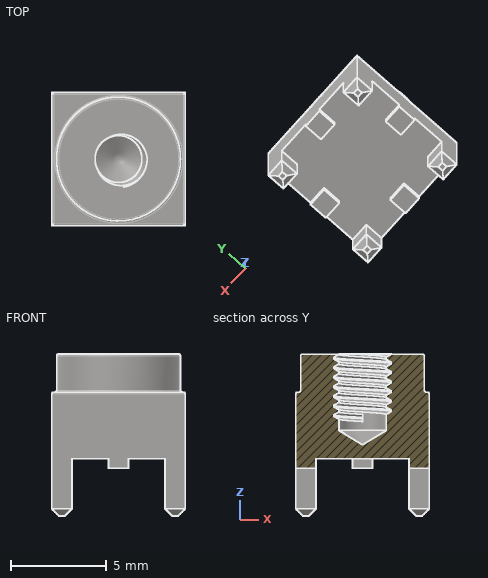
import cadquery as cq
import math

body_side = 7.0
body_bottom = 3.0
body_top = 6.5
edge_round = 0.1

boss_diameter = 6.5
boss_top = 8.5

leg_width = 1.07
leg_tip_chamfer = 0.38
pad_height = 0.5
side_offset = (body_side - leg_width) / 2

major_diameter = 3.0
pitch = 0.5
flank_angle = 60.0
root_flat = pitch / 8
crest_flat = pitch / 4
groove_depth = (pitch - root_flat - crest_flat) / 2 / math.tan(math.radians(flank_angle / 2))
minor_diameter = major_diameter - 2 * groove_depth
thread_turns = 7
drill_point_angle = 118.0
groove_start_angle = 90
groove_lift = 0.15
groove_overlap = 0.03
thread_length = (thread_turns + 1) * pitch


def make_body():
    height = body_top - body_bottom
    body = cq.Workplane("XY", origin=(0, 0, body_bottom)).rect(body_side, body_side).extrude(height)
    return body.faces(">Z").edges().fillet(edge_round)


def make_boss():
    """Boss revolved from a half profile, with a rounded rim and a concave fillet at its foot."""
    radius = boss_diameter / 2
    profile = (
        cq.Workplane("XZ")
        .moveTo(0, body_bottom)
        .lineTo(radius + edge_round, body_bottom)
        .lineTo(radius + edge_round, body_top)
        .radiusArc((radius, body_top + edge_round), edge_round)
        .lineTo(radius, boss_top - edge_round)
        .radiusArc((radius - edge_round, boss_top), -edge_round)
        .lineTo(0, boss_top)
        .close()
    )
    return profile.revolve(360, (0, 0, 0), (0, 1, 0))


def make_leg(x, y):
    leg = cq.Workplane("XY", origin=(x, y, 0)).rect(leg_width, leg_width).extrude(body_bottom)
    return leg.faces("<Z").edges().chamfer(leg_tip_chamfer)


def make_pad(x, y):
    bottom = body_bottom - pad_height
    return cq.Workplane("XY", origin=(x, y, bottom)).rect(leg_width, leg_width).extrude(pad_height)


def make_bore():
    """Straight bore ending in a conical drill point."""
    radius = minor_diameter / 2
    bore_bottom = boss_top - thread_length
    point_depth = radius / math.tan(math.radians(drill_point_angle / 2))
    profile = (
        cq.Workplane("XZ")
        .moveTo(0, boss_top)
        .lineTo(radius, boss_top)
        .lineTo(radius, bore_bottom)
        .lineTo(0, bore_bottom - point_depth)
        .close()
    )
    return profile.revolve(360, (0, 0, 0), (0, 1, 0))


def make_thread_groove():
    """Right-hand helical groove that runs out through the top of the boss."""
    inner_radius = minor_diameter / 2 - groove_overlap
    outer_radius = major_diameter / 2
    root_half = root_flat / 2
    mouth_half = root_half + (outer_radius - inner_radius) * math.tan(math.radians(flank_angle / 2))
    start = boss_top + groove_lift - thread_turns * pitch
    helix = cq.Wire.makeHelix(pitch, thread_length, inner_radius, center=cq.Vector(0, 0, start))
    section = cq.Workplane("XZ").polyline([
        (inner_radius, start - mouth_half),
        (outer_radius, start - root_half),
        (outer_radius, start + root_half),
        (inner_radius, start + mouth_half),
    ]).close()
    groove = section.sweep(cq.Workplane(obj=helix), isFrenet=True)
    return groove.rotate((0, 0, 0), (0, 0, 1), groove_start_angle)


result = make_body().union(make_boss())
for sign in (-1, 1):
    result = result.union(make_leg(sign * side_offset, side_offset))
    result = result.union(make_leg(sign * side_offset, -side_offset))
    result = result.union(make_pad(sign * side_offset, 0))
    result = result.union(make_pad(0, sign * side_offset))
result = result.cut(make_thread_groove()).cut(make_bore())